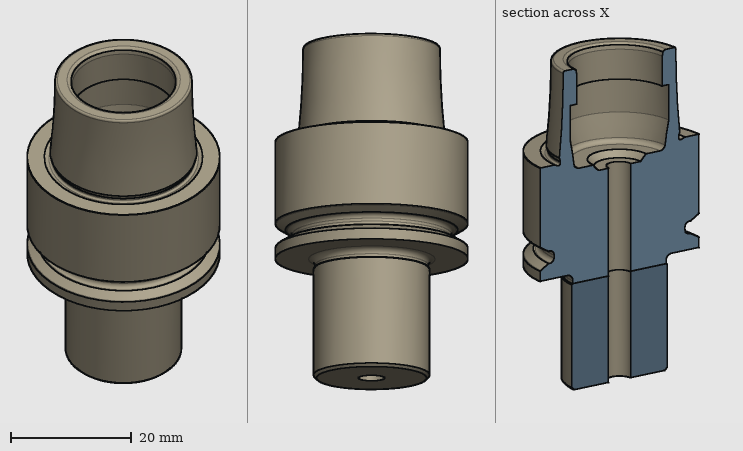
import cadquery as cq
import math

TOTAL_HEIGHT = 55.9
SHANK_BASE_Z = 40.9
FLANGE_TOP_Z = 39.9
FLANGE_BOTTOM_Z = 20.1
NUT_TOP_Z = 18.5

FLANGE_DIAMETER = 31.9
FLANGE_RADIUS = FLANGE_DIAMETER / 2
FLANGE_RIM_CHAMFER = 0.05
NECK_RADIUS = 9.4
NECK_FILLET = 1.05

SHANK_TOP_RADIUS = 11.35
SHANK_BASE_RADIUS = 12.15
SHANK_EDGE_FILLET = 0.4
RELIEF_RADIUS = 11.9
RELIEF_TOP_Z = 40.25

RECESS_OUTER_RADIUS = 13.1
RECESS_SLOPE = math.radians(20)
RECESS_FILLET = 0.35

GROOVE_ROOT_RADIUS = 13.2
GROOVE_ROOT_BOTTOM_Z = 23.75
GROOVE_ROOT_WIDTH = 0.5
GROOVE_MID_Z = GROOVE_ROOT_BOTTOM_Z + GROOVE_ROOT_WIDTH / 2
GROOVE_FILLET = 0.8
GROOVE_FLANK_START_RADIUS = 14.25
GROOVE_FLANK_SLOPE = math.radians(30)
GROOVE_RIM_CHAMFER = 0.14

MOUTH_ROUND_RADIUS = 0.85
MOUTH_ROUND_TURN = math.radians(56)
MOUTH_ROUND_END_RADIUS = 8.65
BORE_RADIUS = 8.55
BORE_TOP_DEPTH = 1.05
CHAMBER_RADIUS = 9.85
CHAMBER_TOP_DEPTH = 6.3
CHAMBER_CONE_DEPTH = 12.4
CHAMBER_CONE_ANGLE = math.radians(10)
FLOOR_RADIUS = 8.1
FLOOR_FILLET = 1.0
SINK_TOP_RADIUS = 5.3
SINK_BOTTOM_RADIUS = 4.2
THROUGH_HOLE_RADIUS = 2.2

NUT_RADIUS = 9.6
NUT_TOP_CHAMFER = 0.1
NUT_BOTTOM_CHAMFER = 0.5


def arc_point(centre, radius, angle):
    """Point of a circle, with the angle counted from the outward radial direction."""
    return (centre[0] + radius * math.cos(angle), centre[1] + radius * math.sin(angle))


def revolve_profile(profile):
    """Close a half-section drawn in XZ and turn it around the Z axis."""
    return profile.close().revolve(360, (0, 0, 0), (0, 1, 0))


def make_blank():
    """Outside shape of the holder, solid inside, from the neck up to the shank."""
    neck_centre = (NECK_RADIUS + NECK_FILLET, FLANGE_BOTTOM_Z - NECK_FILLET)
    neck_mid = arc_point(neck_centre, NECK_FILLET, math.radians(135))

    tangent_angle = RECESS_SLOPE - math.pi / 2
    recess_centre_radius = RELIEF_RADIUS + RECESS_FILLET
    floor_end_radius = recess_centre_radius + RECESS_FILLET * math.cos(tangent_angle)
    floor_end_z = FLANGE_TOP_Z - (RECESS_OUTER_RADIUS - floor_end_radius) * math.tan(RECESS_SLOPE)
    recess_centre = (recess_centre_radius, floor_end_z - RECESS_FILLET * math.sin(tangent_angle))
    recess_mid = arc_point(recess_centre, RECESS_FILLET, (tangent_angle - math.pi) / 2)

    side_top_z = TOTAL_HEIGHT - SHANK_EDGE_FILLET
    side_height = side_top_z - SHANK_BASE_Z
    flare = SHANK_BASE_RADIUS - SHANK_TOP_RADIUS
    side_arc_radius = (side_height**2 + flare**2) / (2 * flare)
    side_turn = math.asin(side_height / side_arc_radius)
    side_centre = (SHANK_TOP_RADIUS + side_arc_radius, side_top_z)
    side_mid = arc_point(side_centre, side_arc_radius, math.pi + side_turn / 2)

    edge_centre = (SHANK_TOP_RADIUS - SHANK_EDGE_FILLET, side_top_z)
    edge_mid = arc_point(edge_centre, SHANK_EDGE_FILLET, math.radians(45))

    return revolve_profile(
        cq.Workplane("XZ")
        .moveTo(0, NUT_TOP_Z)
        .lineTo(NECK_RADIUS, NUT_TOP_Z)
        .lineTo(NECK_RADIUS, neck_centre[1])
        .threePointArc(neck_mid, (neck_centre[0], FLANGE_BOTTOM_Z))
        .lineTo(FLANGE_RADIUS, FLANGE_BOTTOM_Z)
        .lineTo(FLANGE_RADIUS, FLANGE_TOP_Z - FLANGE_RIM_CHAMFER)
        .lineTo(FLANGE_RADIUS - FLANGE_RIM_CHAMFER, FLANGE_TOP_Z)
        .lineTo(RECESS_OUTER_RADIUS, FLANGE_TOP_Z)
        .lineTo(floor_end_radius, floor_end_z)
        .threePointArc(recess_mid, (RELIEF_RADIUS, recess_centre[1]))
        .lineTo(RELIEF_RADIUS, RELIEF_TOP_Z)
        .lineTo(SHANK_BASE_RADIUS, SHANK_BASE_Z)
        .threePointArc(side_mid, (SHANK_TOP_RADIUS, side_top_z))
        .threePointArc(edge_mid, (edge_centre[0], TOTAL_HEIGHT))
        .lineTo(0, TOTAL_HEIGHT)
    )


def make_gripper_groove():
    """Ring cutter, symmetric about mid-groove: rounded root, V flanks and chamfered rims."""
    half_root = GROOVE_ROOT_WIDTH / 2
    fillet_centre = (GROOVE_ROOT_RADIUS + GROOVE_FILLET, half_root)
    fillet_mid = arc_point(fillet_centre, GROOVE_FILLET, math.radians(135))
    shoulder_z = half_root + GROOVE_FILLET
    rim_radius = FLANGE_RADIUS - GROOVE_RIM_CHAMFER
    rim_z = shoulder_z + (rim_radius - GROOVE_FLANK_START_RADIUS) * math.tan(GROOVE_FLANK_SLOPE)
    mouth_z = rim_z + GROOVE_RIM_CHAMFER
    return revolve_profile(
        cq.Workplane("XZ", origin=(0, 0, GROOVE_MID_Z))
        .moveTo(GROOVE_ROOT_RADIUS, -half_root)
        .lineTo(GROOVE_ROOT_RADIUS, half_root)
        .threePointArc(fillet_mid, (fillet_centre[0], shoulder_z))
        .lineTo(GROOVE_FLANK_START_RADIUS, shoulder_z)
        .lineTo(rim_radius, rim_z)
        .lineTo(FLANGE_RADIUS, mouth_z)
        .lineTo(FLANGE_RADIUS, -mouth_z)
        .lineTo(rim_radius, -rim_z)
        .lineTo(GROOVE_FLANK_START_RADIUS, -shoulder_z)
        .lineTo(fillet_centre[0], -shoulder_z)
        .threePointArc((fillet_mid[0], -fillet_mid[1]), (GROOVE_ROOT_RADIUS, -half_root))
    )


def make_bore():
    """Cutter for the rounded mouth, bore, undercut chamber, countersink and through hole."""
    mouth_radius = MOUTH_ROUND_END_RADIUS + MOUTH_ROUND_RADIUS * math.sin(MOUTH_ROUND_TURN)
    mouth_end_z = TOTAL_HEIGHT - MOUTH_ROUND_RADIUS * (1 - math.cos(MOUTH_ROUND_TURN))
    mouth_centre = (mouth_radius, TOTAL_HEIGHT - MOUTH_ROUND_RADIUS)
    mouth_mid = arc_point(mouth_centre, MOUTH_ROUND_RADIUS, (math.pi + MOUTH_ROUND_TURN) / 2)

    chamber_top_z = TOTAL_HEIGHT - CHAMBER_TOP_DEPTH
    cone_top_z = TOTAL_HEIGHT - CHAMBER_CONE_DEPTH
    cone_end_radius = FLOOR_RADIUS + FLOOR_FILLET * math.cos(CHAMBER_CONE_ANGLE)
    cone_end_z = cone_top_z - (CHAMBER_RADIUS - cone_end_radius) / math.tan(CHAMBER_CONE_ANGLE)
    fillet_centre = (FLOOR_RADIUS, cone_end_z + FLOOR_FILLET * math.sin(CHAMBER_CONE_ANGLE))
    fillet_mid = arc_point(fillet_centre, FLOOR_FILLET, -(math.pi / 2 + CHAMBER_CONE_ANGLE) / 2)
    floor_z = fillet_centre[1] - FLOOR_FILLET

    sink_z = floor_z - (SINK_TOP_RADIUS - SINK_BOTTOM_RADIUS)

    return revolve_profile(
        cq.Workplane("XZ")
        .moveTo(0, NUT_TOP_Z)
        .lineTo(THROUGH_HOLE_RADIUS, NUT_TOP_Z)
        .lineTo(THROUGH_HOLE_RADIUS, sink_z)
        .lineTo(SINK_BOTTOM_RADIUS, sink_z)
        .lineTo(SINK_TOP_RADIUS, floor_z)
        .lineTo(FLOOR_RADIUS, floor_z)
        .threePointArc(fillet_mid, (cone_end_radius, cone_end_z))
        .lineTo(CHAMBER_RADIUS, cone_top_z)
        .lineTo(CHAMBER_RADIUS, chamber_top_z)
        .lineTo(BORE_RADIUS, chamber_top_z)
        .lineTo(BORE_RADIUS, TOTAL_HEIGHT - BORE_TOP_DEPTH)
        .lineTo(MOUTH_ROUND_END_RADIUS, mouth_end_z)
        .threePointArc(mouth_mid, (mouth_radius, TOTAL_HEIGHT))
        .lineTo(0, TOTAL_HEIGHT)
    )


def make_holder():
    """Tool holder: hollow shank and grooved flange above a short neck."""
    return make_blank().cut(make_gripper_groove()).cut(make_bore())


def make_nut():
    """Plain round nut that seats against the end of the neck."""
    return (
        cq.Workplane("XY")
        .circle(NUT_RADIUS)
        .extrude(NUT_TOP_Z)
        .faces("<Z")
        .chamfer(NUT_BOTTOM_CHAMFER)
        .faces(">Z")
        .chamfer(NUT_TOP_CHAMFER)
        .faces(">Z")
        .workplane()
        .hole(2 * THROUGH_HOLE_RADIUS)
    )


holder = make_holder()
nut = make_nut()

result = cq.Compound.makeCompound([holder.val(), nut.val()])